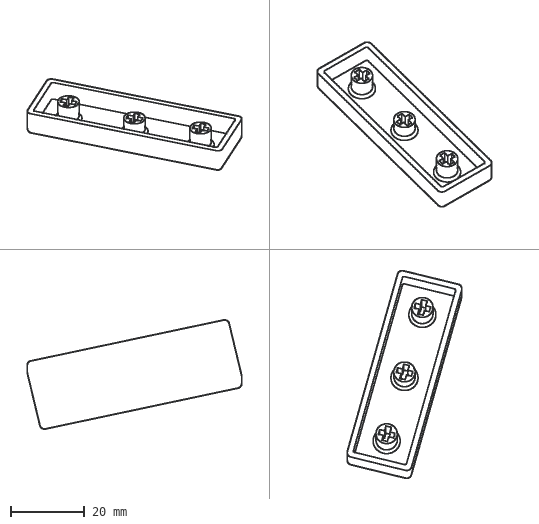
import cadquery as cq

length = 56.15
width = 18.0
height = 6.9
wall = 1.6
floor_thickness = 1.5
outer_radius = 1.35
inner_radius = 0.5

stem_pitch = 19.05
stem_diameter = 5.8
middle_stem_drop = 1.0
flare_size = 0.8

cross_span = 4.25
cross_arm_x = 1.5
cross_arm_y = 1.4


def make_tray():
    """Open-topped tray with rounded vertical corners and bottom edge."""
    body = cq.Workplane("XY").box(length, width, height, centered=(True, True, False))
    body = body.edges("|Z").fillet(outer_radius)
    body = body.faces("<Z").edges().fillet(outer_radius)
    cavity = (
        cq.Workplane("XY", origin=(0, 0, floor_thickness))
        .rect(length - 2 * wall, width - 2 * wall)
        .extrude(height - floor_thickness)
        .edges("|Z")
        .fillet(inner_radius)
    )
    return body.cut(cavity)


def make_stem(x, stem_height):
    """Round stem with a conical flare where it meets the floor."""
    radius = stem_diameter / 2
    flare_radius = radius + flare_size
    profile = [
        (0, 0),
        (flare_radius, 0),
        (radius, flare_size),
        (radius, stem_height),
        (0, stem_height),
    ]
    stem = cq.Workplane("XZ").polyline(profile).close().revolve(360, (0, 0), (0, 1))
    return stem.translate((x, 0, floor_thickness))


def make_socket(x, socket_depth):
    """Cross-shaped cutter reaching from the tray floor up to the stem top."""
    base = cq.Workplane("XY", origin=(x, 0, floor_thickness))
    arm_along_x = base.rect(cross_span, cross_arm_x).extrude(socket_depth)
    arm_along_y = base.rect(cross_arm_y, cross_span).extrude(socket_depth)
    return arm_along_x.union(arm_along_y)


end_stem_height = height - floor_thickness
middle_stem_height = end_stem_height - middle_stem_drop
stems = [
    (-stem_pitch, end_stem_height),
    (0, middle_stem_height),
    (stem_pitch, end_stem_height),
]

result = make_tray()
for stem_x, stem_height in stems:
    result = result.union(make_stem(stem_x, stem_height))
    result = result.cut(make_socket(stem_x, stem_height))